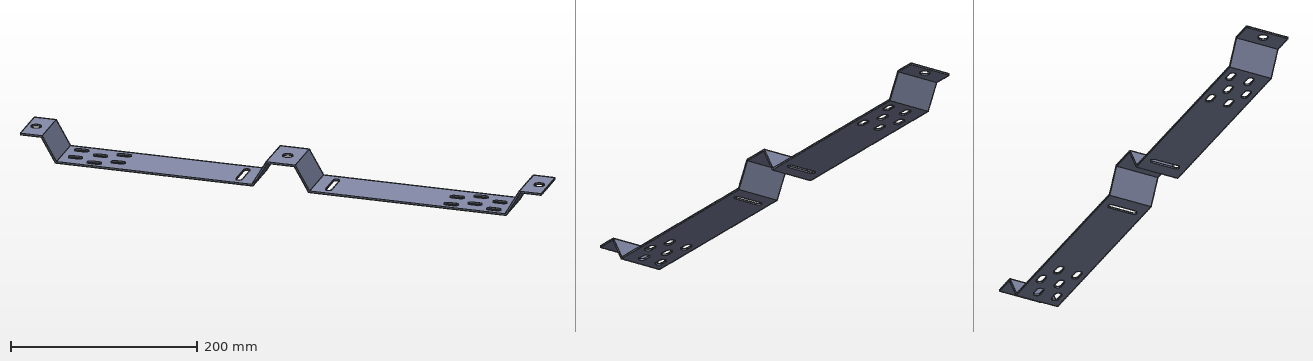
import cadquery as cq
import math

length = 587.0
width = 50.0
height = 30.0
thickness = 2.0
bend_angle = 60.0

end_flat = 24.5
center_flat = 33.0

hole_diameter = 11.0
end_hole_x = 283.5
cross_slot_x = 50.5
cross_slot_length = 34.5
cross_slot_width = 7.0
oblong_length = 16.0
oblong_width = 7.5
oblong_inner_x = 189.0
oblong_pitch_x = 24.0
oblong_columns = 3
oblong_high_y = 15.0
oblong_low_y = -6.5


def strip_body():
    """Bent strip: two trays hung between three raised flats."""
    rise = height - thickness
    run = rise / math.tan(math.radians(bend_angle))
    bend_shift = thickness * math.tan(math.radians(bend_angle / 2))

    half = length / 2
    ridge = center_flat / 2
    shoulder = half - end_flat
    upper_right = [
        (ridge, height),
        (ridge + run, thickness),
        (shoulder - run, thickness),
        (shoulder, height),
        (half, height),
    ]
    lower_right = [
        (half, rise),
        (shoulder + bend_shift, rise),
        (shoulder + bend_shift - run, 0),
        (ridge - bend_shift + run, 0),
        (ridge - bend_shift, rise),
    ]
    right_side = upper_right + lower_right
    left_side = [(-x, z) for x, z in reversed(right_side)]
    return (
        cq.Workplane("XZ")
        .polyline(right_side + left_side)
        .close()
        .extrude(width / 2, both=True)
    )


def round_holes():
    """One screw hole in each raised flat."""
    centers = [(-end_hole_x, 0), (0, 0), (end_hole_x, 0)]
    return cq.Workplane("XY").pushPoints(centers).circle(hole_diameter / 2).extrude(height)


def cross_slots():
    """Slots across the strip, one in each tray beside the center flat."""
    centers = [(-cross_slot_x, 0), (cross_slot_x, 0)]
    return (
        cq.Workplane("XY")
        .pushPoints(centers)
        .slot2D(cross_slot_length, cross_slot_width, 90)
        .extrude(height)
    )


def oblong_slots():
    """Staggered slot pairs; the left group is the right one turned half a turn."""
    centers = []
    for column in range(oblong_columns):
        x = oblong_inner_x + column * oblong_pitch_x
        stagger = 1 if column % 2 == 1 else -1
        for y in (oblong_high_y, oblong_low_y):
            centers.append((x, stagger * y))
            centers.append((-x, -stagger * y))
    return (
        cq.Workplane("XY")
        .pushPoints(centers)
        .slot2D(oblong_length, oblong_width)
        .extrude(height)
    )


result = strip_body().cut(round_holes()).cut(cross_slots()).cut(oblong_slots())